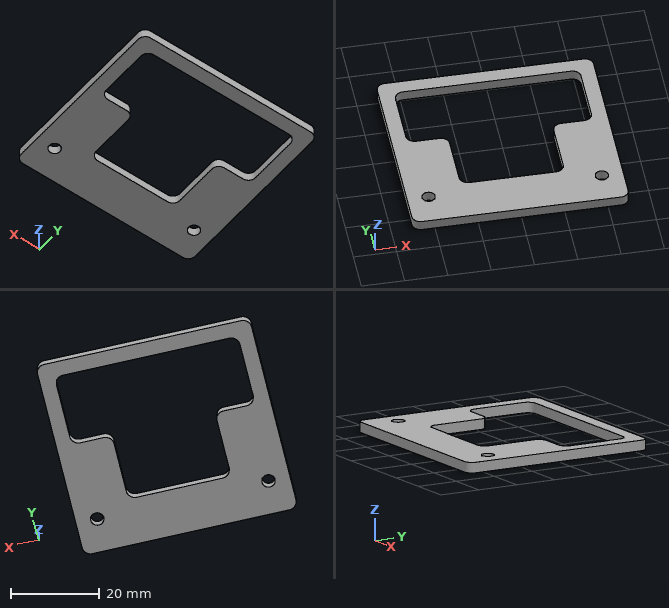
import cadquery as cq

width = 50.0
depth = 47.5
thickness = 2.5
corner_radius = 2.0

rim = 3.6
window_width = width - 2 * rim
upper_window_depth = 16.9
lower_window_width = 24.0
window_depth = 32.8

hole_diameter = 3.0
hole_spacing = 40.0
hole_edge_distance = 8.0

window_back = depth / 2 - rim
shoulder_y = window_back - upper_window_depth
window_front = window_back - window_depth


def make_plate():
    plate = cq.Workplane("XY").box(width, depth, thickness)
    return plate.edges("|Z").fillet(corner_radius)


def make_window():
    outline = [
        (-window_width / 2, window_back),
        (window_width / 2, window_back),
        (window_width / 2, shoulder_y),
        (lower_window_width / 2, shoulder_y),
        (lower_window_width / 2, window_front),
        (-lower_window_width / 2, window_front),
        (-lower_window_width / 2, shoulder_y),
        (-window_width / 2, shoulder_y),
    ]
    window = cq.Workplane("XY").polyline(outline).close().extrude(thickness / 2, both=True)
    return window.edges("|Z").fillet(corner_radius)


def make_holes():
    hole_y = -depth / 2 + hole_edge_distance
    centers = [(side * hole_spacing / 2, hole_y) for side in (-1, 1)]
    holes = cq.Workplane("XY").pushPoints(centers).circle(hole_diameter / 2)
    return holes.extrude(thickness / 2, both=True)


result = make_plate().cut(make_window()).cut(make_holes())